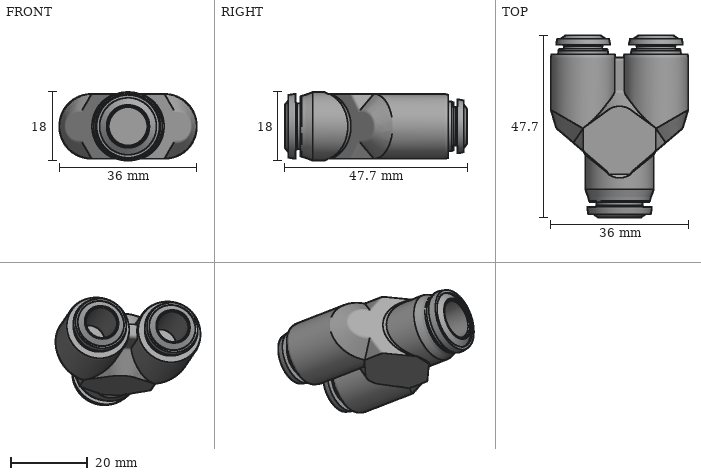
import cadquery as cq
import math


length = 47.7
outlet_radius = 8.5
outlet_offset = 9.515
inlet_radius = 8.99
half_height = outlet_radius

facet_angle = 40.5
facet_y_at_outlet = 17.35
facet_edge_radius = 0.95

mitre_angle = 30.0
mitre_y = 23.3
flank_angle = 60.0
cone_apex_y = 16.1
cone_cut_scale = 0.3

crotch_angle = 36.0
crotch_draft = 30.0
crotch_top_y = 29.1
crotch_radius = 5.05

web_width = 2.85
web_half_height = 2.0
web_end_y = 41.9
web_end_radius = 0.95
web_fillet_radius = 0.95

inlet_mouth_radius = 7.78
inlet_bevel_radius = 8.0
inlet_bevel_length = 0.4
inlet_taper_radius = 8.25
inlet_taper_length = 1.35
barrel_start_y = 7.35
barrel_rear_y = 19.1
relief_start_y = 10.35
relief_end_y = 11.35

skirt_radius = 9.45
skirt_height = 9.1
skirt_angle = 39.2
skirt_drop = 0.1

sleeve_mouth_radius = 6.25
sleeve_bevel_radius = 6.5
sleeve_bevel_length = 0.5
sleeve_radius = 6.6
sleeve_length = 1.4
tube_end_radius = 8.3
tube_end_length = 0.85

inlet_tip_radius = 5.65
inlet_rim_inner = 7.45
inlet_rim_radius = 8.5
inlet_rim_front = 0.85
inlet_rim_back = 2.8
inlet_neck_radius = 6.05
inlet_groove_end = 4.05
outlet_tip_radius = 4.55
outlet_rim_inner = 6.15
outlet_rim_radius = 7.05
outlet_rim_front = 0.9
outlet_rim_back = 2.58
outlet_neck_radius = 5.05
outlet_groove_end = 3.6
collar_cone_slope = 0.73
rim_taper = 0.3
rim_edge = 0.45
neck_flare = 0.15
neck_flare_length = 0.4

inlet_bore_radius = 5.0
outlet_bore_radius = 4.1
bore_depth = 16.7
bore_chamfer = 0.35

facet_slope = math.tan(math.radians(facet_angle))
facet_tip_y = facet_y_at_outlet - outlet_offset * facet_slope
cone_apex_x = outlet_offset + half_height / math.tan(math.radians(flank_angle))
draft = math.radians(crotch_draft)
crotch_centre_y = crotch_top_y - crotch_radius
beyond = 2 * length
tolerance = 0.005


def both_sides(solid):
    return solid.union(solid.mirror("YZ"))


def at_outlet(solid):
    """Turn a solid that starts at Y = 0 to start at the +X outlet end instead."""
    return solid.mirror("XZ").translate((outlet_offset, length, 0))


def prism(points):
    """Tall prism along Z over an XY outline."""
    return cq.Workplane("XY").polyline(points).close().extrude(length, both=True)


def revolve_profile(points):
    """Solid of revolution about the Y axis from (radius, y) points."""
    return cq.Workplane("XY").polyline(points).close().revolve(360, (0, 0, 0), (0, 1, 0))


def half_ellipse(centre, tilt, x_reach, z_reach):
    """Closed +X half of an ellipse in a plane turned about Z; x_reach is measured along X."""
    angle = math.radians(tilt)
    along = (math.cos(angle), math.sin(angle), 0)
    normal = (math.sin(angle), -math.cos(angle), 0)
    sketch = cq.Workplane(cq.Plane(centre, along, normal)).moveTo(0, -z_reach)
    return sketch.ellipseArc(x_reach / math.cos(angle), z_reach, -90, 90).close().val()


def ruled_solid(first, second):
    return cq.Workplane(cq.Solid.makeLoft([first, second], True))



def behind_facets():
    """Everything on the +Y side of the two slanted facets."""
    wide_y = facet_tip_y + beyond * facet_slope
    return prism([(0, facet_tip_y), (beyond, wide_y), (-beyond, wide_y)])


def crotch_half():
    """Upper half of a drafted wedge whose rounded nose forms the crotch."""
    angle = math.radians(crotch_angle)
    radius = crotch_radius + half_height * math.tan(draft)
    tangent_x = radius * math.sin(angle)
    tangent_y = crotch_centre_y + radius * math.cos(angle)
    far_x = tangent_x + length
    far_y = tangent_y - length * math.tan(angle)
    return (
        cq.Workplane("XY")
        .moveTo(-far_x, -length)
        .lineTo(-far_x, far_y)
        .lineTo(-tangent_x, tangent_y)
        .threePointArc((0, crotch_centre_y + radius), (tangent_x, tangent_y))
        .lineTo(far_x, far_y)
        .lineTo(far_x, -length)
        .close()
        .extrude(half_height, taper=crotch_draft)
    )


def hub_block():
    """Central block with flat top and bottom, sloping flanks and the crotch."""
    section = [
        (outlet_offset, half_height),
        (cone_apex_x, 0),
        (outlet_offset, -half_height),
        (-outlet_offset, -half_height),
        (-cone_apex_x, 0),
        (-outlet_offset, half_height),
    ]
    block = cq.Workplane("XZ").polyline(section).close().extrude(-length)
    upper = crotch_half()
    return block.intersect(upper.union(upper.mirror("XY")))


def cone_section(scale):
    """Half ellipse parallel to the mitre plane, shrunk towards the cone apex."""
    centre = (
        cone_apex_x + scale * (outlet_offset - cone_apex_x),
        cone_apex_y + scale * (mitre_y - cone_apex_y),
        0,
    )
    return half_ellipse(centre, mitre_angle, scale * outlet_radius, scale * outlet_radius)


def facet_outline_edges(body):
    """Edges around either slanted facet, clear of the flat top and bottom and of X = 0."""
    chosen = []
    for edge in body.edges().vals():
        centre = edge.Center()
        x = abs(centre.x)
        in_facet = abs(centre.y - facet_tip_y - x * facet_slope) < tolerance
        if in_facet and x > tolerance and abs(centre.z) < half_height - tolerance:
            chosen.append(edge)
    return body.newObject(chosen)


def hub():
    """Block and outlet cones, cut by the facets, with the facet outlines rounded."""
    cones = both_sides(ruled_solid(cone_section(1), cone_section(cone_cut_scale)))
    body = hub_block().union(cones).intersect(behind_facets())
    return facet_outline_edges(body).fillet(facet_edge_radius)



def web():
    """Bridge that fills the gap between the outlet tubes."""
    bridge = cq.Workplane("XY").box(web_width, web_end_y - mitre_y, 2 * web_half_height)
    bridge = bridge.edges(">Y and |X").fillet(web_end_radius)
    return bridge.translate((0, (web_end_y + mitre_y) / 2, 0))


def crotch_fillet():
    """Rounding between the conical crotch and the web, above and below."""
    corner = crotch_radius + (half_height - web_half_height) * math.tan(draft)
    half_turn = (math.pi / 2 - draft) / 2
    setback = web_fillet_radius * math.tan(half_turn)
    outer = corner + setback
    inner = corner - setback * math.sin(draft)
    middle = (
        outer - web_fillet_radius * math.sin(half_turn),
        web_half_height + web_fillet_radius * (1 - math.cos(half_turn)),
    )
    ring = (
        cq.Workplane("XZ")
        .moveTo(outer, web_half_height)
        .threePointArc(middle, (inner, web_half_height + setback * math.cos(draft)))
        .lineTo(inner, 0)
        .lineTo(outer, 0)
        .close()
        .revolve(360, (0, 0, 0), (0, 1, 0))
        .translate((0, crotch_centre_y, 0))
    )
    trim = cq.Workplane("XY").box(web_width, length, half_height, centered=(True, False, False))
    upper = ring.intersect(trim.translate((0, crotch_top_y, 0)))
    return upper.union(upper.mirror("XY"))



def collar_points(tip_radius, rim_inner, rim_radius, rim_front, rim_back, neck_radius, groove_end):
    """(radius, distance from the end) points of a release collar, from its tip to its groove."""
    recess = (rim_inner - tip_radius) * collar_cone_slope
    return [
        (0, 0),
        (tip_radius, 0),
        (rim_inner, recess),
        (rim_inner, rim_front),
        (rim_radius - rim_taper, rim_front),
        (rim_radius, rim_back - rim_edge),
        (rim_radius, rim_back),
        (neck_radius + neck_flare, rim_back),
        (neck_radius, rim_back + neck_flare_length),
        (neck_radius, groove_end),
    ]


def bore(radius):
    """Blind bore from the end face, chamfered at the mouth."""
    mouth = radius + bore_chamfer
    wall = [(mouth, 0), (radius, bore_chamfer), (radius, bore_depth)]
    return revolve_profile([(0, 0)] + wall + [(0, bore_depth)])


def inlet_fitting():
    """Inlet collar and barrel, flattened to the top height where the barrel enters the hub."""
    collar = collar_points(
        inlet_tip_radius, inlet_rim_inner, inlet_rim_radius, inlet_rim_front,
        inlet_rim_back, inlet_neck_radius, inlet_groove_end,
    )
    barrel = [
        (inlet_mouth_radius, inlet_groove_end),
        (inlet_bevel_radius, inlet_groove_end + inlet_bevel_length),
        (inlet_taper_radius, inlet_groove_end + inlet_taper_length),
        (inlet_radius, barrel_start_y),
        (inlet_radius, barrel_rear_y),
        (0, barrel_rear_y),
    ]
    relief_outline = [
        (relief_end_y, half_height),
        (relief_start_y, inlet_radius),
        (relief_start_y, 2 * inlet_radius),
        (length, 2 * inlet_radius),
        (length, half_height),
    ]
    relief = cq.Workplane("YZ").polyline(relief_outline).close().extrude(length, both=True)
    return revolve_profile(collar + barrel).cut(relief).cut(relief.mirror("XY"))


def inlet_skirt():
    """Thin skirt between the +X facet and the barrel, kept below the flat top."""
    upper = half_ellipse((0, facet_tip_y, 0), facet_angle, skirt_radius, skirt_height)
    lower = half_ellipse((0, facet_tip_y - skirt_drop, 0), skirt_angle, inlet_radius, inlet_radius)
    return ruled_solid(upper, lower).intersect(cq.Workplane("XY").box(length, length, 2 * half_height))


def outlet_fitting():
    """Collar, sleeve and tube of the +X outlet, with the tube cut off on the mitre plane."""
    collar = collar_points(
        outlet_tip_radius, outlet_rim_inner, outlet_rim_radius, outlet_rim_front,
        outlet_rim_back, outlet_neck_radius, outlet_groove_end,
    )
    sleeve_end = outlet_groove_end + sleeve_length
    tube = [
        (sleeve_mouth_radius, outlet_groove_end),
        (sleeve_bevel_radius, outlet_groove_end + sleeve_bevel_length),
        (sleeve_radius, sleeve_end),
        (tube_end_radius, sleeve_end),
        (outlet_radius, sleeve_end + tube_end_length),
        (outlet_radius, length),
        (0, length),
    ]
    rise = length * math.tan(math.radians(mitre_angle))
    left = outlet_offset - length
    right = outlet_offset + length
    beyond_mitre = prism([(left, mitre_y - rise), (right, mitre_y + rise), (right, beyond), (left, beyond)])
    return at_outlet(revolve_profile(collar + tube)).intersect(beyond_mitre)


body = hub().union(web()).union(crotch_fillet())
body = body.union(inlet_fitting()).union(both_sides(inlet_skirt()))
body = body.union(both_sides(outlet_fitting()))
result = body.cut(bore(inlet_bore_radius)).cut(both_sides(at_outlet(bore(outlet_bore_radius))))